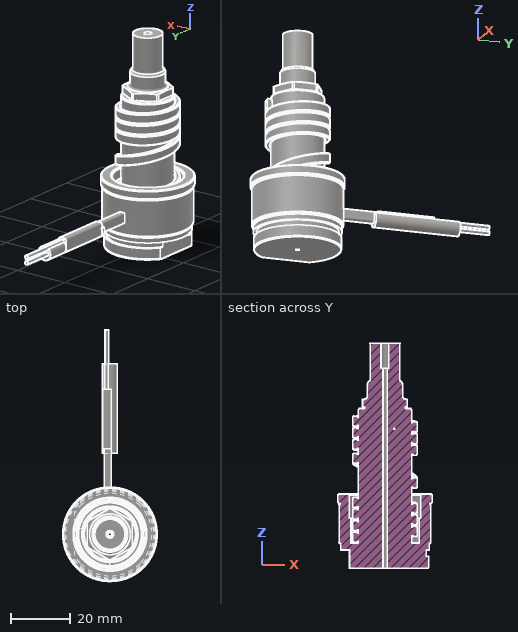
import cadquery as cq
import math

FOOT_RADIUS = 14.9
FOOT_HEIGHT = 4.2
FOOT_EDGE_RADIUS = 14.7
FOOT_EDGE_HEIGHT = 0.4
GROOVE_RADIUS = 14.0
GROOVE_TOP = 6.2
FLAT_DISTANCE = 12.0
RING_RADIUS = 15.05
RING_TOP = 8.0
BODY_RADIUS = 15.55
BODY_BOTTOM = 8.75
BODY_TOP = 21.5
FLANGE_RADIUS = 16.0
FLANGE_BOTTOM = 22.0
FLANGE_TOP = 25.25
EDGE_BREAK = 0.3
BORE_RADIUS = 12.1
BORE_FLOOR = 8.7
BORE_CHAMFER = 0.4
SEAT_RADIUS = 11.5
SEAT_TOP = 17

SLEEVE_RADIUS = 9.1
SLEEVE_TOP = 54.1
SLEEVE_CHAMFER = 0.4
NECK_RADIUS = 6.9
HEX_BOTTOM = 54.5
HEX_TOP = 57.4
HEX_ACROSS_FLATS = 15.2
HEX_CORNER_RADIUS = 8.6
HEX_BEVEL = 0.4
COLLAR_RADIUS = 6.0
COLLAR_FILLET = 0.85
COLLAR_SHOULDER = 62.5
COLLAR_TOP_RADIUS = 5.5
COLLAR_TOP = 63.3
STEM_RADIUS = 5.1
STEM_FILLET = COLLAR_TOP_RADIUS - STEM_RADIUS
STEM_TOP = 76.2
STEM_HOLE_RADIUS = 1.3
STEM_HOLE_DEPTH = 8.5
THROUGH_HOLE_RADIUS = 0.64

SPRING_OUTER_RADIUS = 11.0
SPRING_SINK = 0.3
COIL_HEIGHT = 3.6
COIL_CHAMFER = 0.3
COIL_INNER_CHAMFER = 0.4
CLOSE_PITCH = 3.9
CLOSE_TURNS = 3.05
OPEN_TURNS = 1.22
OPEN_EXTRA_RISE = 11.8
SPRING_END_Z = 50.75
SPRING_END_ANGLE = 270
POINTS_PER_TURN = 24

CABLE_X = -0.8
CABLE_Z = 14.5
CABLE_WIDTH = 2.5
CABLE_HEIGHT = 3.9
CABLE_FILLET = 0.7
CABLE_START_Y = 13.6
CLAMP_X = -1.0
CLAMP_WIDTH = 3.1
CLAMP_HEIGHT = 4.7
CLAMP_FILLET = 0.8
CLAMP_START_Y = 28.9
CLAMP_END_Y = 49.0
TUBE_RADIUS = 2.55
TUBE_Z = 13.5
TUBE_START_Y = 27.4
TUBE_END_Y = 57.6
WIRE_RADIUS = 0.7
WIRE_SPACING = 2.0
WIRE_OVERLAP = 0.85
WIRE_X = -1.0
OVERALL_LENGTH = 85
WIRE_END_Y = OVERALL_LENGTH - FLANGE_RADIUS


def turned(points):
    """Solid of revolution about Z from a list of (radius, z) points."""
    return cq.Workplane("XZ").polyline(points).close().revolve(360, (0, 0), (0, 1))


def cylinder(radius, bottom, top):
    return cq.Workplane("XY").workplane(offset=bottom).circle(radius).extrude(top - bottom)


def make_housing():
    neck = BODY_RADIUS - EDGE_BREAK
    housing = turned([
        (0, 0),
        (FOOT_EDGE_RADIUS, 0),
        (FOOT_RADIUS, FOOT_EDGE_HEIGHT),
        (FOOT_RADIUS, FOOT_HEIGHT),
        (GROOVE_RADIUS, FOOT_HEIGHT),
        (GROOVE_RADIUS, GROOVE_TOP),
        (RING_RADIUS, GROOVE_TOP),
        (RING_RADIUS, RING_TOP),
        (neck, BODY_BOTTOM - EDGE_BREAK),
        (BODY_RADIUS, BODY_BOTTOM),
        (BODY_RADIUS, BODY_TOP),
        (neck, BODY_TOP + EDGE_BREAK),
        (neck, FLANGE_BOTTOM),
        (FLANGE_RADIUS - EDGE_BREAK, FLANGE_BOTTOM),
        (FLANGE_RADIUS, FLANGE_BOTTOM + EDGE_BREAK),
        (FLANGE_RADIUS, FLANGE_TOP - EDGE_BREAK),
        (FLANGE_RADIUS - EDGE_BREAK, FLANGE_TOP),
        (BORE_RADIUS + BORE_CHAMFER, FLANGE_TOP),
        (BORE_RADIUS, FLANGE_TOP - BORE_CHAMFER),
        (BORE_RADIUS, SEAT_TOP),
        (SEAT_RADIUS, SEAT_TOP),
        (SEAT_RADIUS, BORE_FLOOR),
        (0, BORE_FLOOR),
    ])
    beyond_flat = cq.Workplane("XY").box(
        FOOT_RADIUS, 2 * FOOT_RADIUS, GROOVE_TOP, centered=(False, True, False)
    ).translate((-FLAT_DISTANCE - FOOT_RADIUS, 0, 0))
    return housing.cut(beyond_flat)


def make_hexagon():
    corner_diameter = HEX_ACROSS_FLATS / math.cos(math.pi / 6)
    height = HEX_TOP - HEX_BOTTOM
    prism = (
        cq.Workplane("XY").workplane(offset=HEX_BOTTOM)
        .transformed(rotate=(0, 0, 90))
        .polygon(6, corner_diameter).extrude(height)
    )
    rounding = turned([
        (0, HEX_BOTTOM),
        (HEX_CORNER_RADIUS, HEX_BOTTOM),
        (HEX_CORNER_RADIUS, HEX_TOP - HEX_BEVEL),
        (COLLAR_RADIUS, HEX_TOP),
        (0, HEX_TOP),
    ])
    return prism.intersect(rounding)


def make_post():
    sleeve = cylinder(SLEEVE_RADIUS, BORE_FLOOR, SLEEVE_TOP).faces(">Z").chamfer(SLEEVE_CHAMFER)
    neck = cylinder(NECK_RADIUS, SLEEVE_TOP, HEX_BOTTOM)
    arc_bulge = 1 - math.sqrt(0.5)
    stem = (
        cq.Workplane("XZ")
        .moveTo(0, HEX_BOTTOM)
        .lineTo(COLLAR_RADIUS + COLLAR_FILLET, HEX_BOTTOM)
        .lineTo(COLLAR_RADIUS + COLLAR_FILLET, HEX_TOP)
        .threePointArc(
            (COLLAR_RADIUS + arc_bulge * COLLAR_FILLET, HEX_TOP + arc_bulge * COLLAR_FILLET),
            (COLLAR_RADIUS, HEX_TOP + COLLAR_FILLET),
        )
        .lineTo(COLLAR_RADIUS, COLLAR_SHOULDER)
        .lineTo(COLLAR_TOP_RADIUS, COLLAR_TOP)
        .threePointArc(
            (STEM_RADIUS + arc_bulge * STEM_FILLET, COLLAR_TOP + arc_bulge * STEM_FILLET),
            (STEM_RADIUS, COLLAR_TOP + STEM_FILLET),
        )
        .lineTo(STEM_RADIUS, STEM_TOP)
        .lineTo(0, STEM_TOP)
        .close()
        .revolve(360, (0, 0), (0, 1))
    )
    return sleeve.union(neck).union(make_hexagon()).union(stem)


def coil_drop(turns):
    """Distance of the coil centre below the upper end after a number of turns."""
    stretch = min(max((turns - CLOSE_TURNS) / OPEN_TURNS, 0), 1)
    return CLOSE_PITCH * turns + OPEN_EXTRA_RISE * stretch**2 * (3 - 2 * stretch)


def make_spring():
    """Skin the coil from the helical edges traced by the corners of its section."""
    half = COIL_HEIGHT / 2
    bevel_radius = SPRING_OUTER_RADIUS - COIL_CHAMFER
    sunk_radius = SLEEVE_RADIUS - SPRING_SINK
    sunk_half = half - COIL_INNER_CHAMFER - SPRING_SINK
    inner_bevel_radius = SLEEVE_RADIUS + COIL_INNER_CHAMFER
    section = [
        (sunk_radius, -sunk_half),
        (inner_bevel_radius, -half),
        (bevel_radius, -half),
        (SPRING_OUTER_RADIUS, COIL_CHAMFER - half),
        (SPRING_OUTER_RADIUS, half - COIL_CHAMFER),
        (bevel_radius, half),
        (inner_bevel_radius, half),
        (sunk_radius, sunk_half),
    ]
    total_turns = 2 * CLOSE_TURNS + OPEN_TURNS
    steps = math.ceil(total_turns * POINTS_PER_TURN)

    def corner_at(corner, turns):
        radius, offset = corner
        angle = math.radians(SPRING_END_ANGLE - 360 * turns)
        height = SPRING_END_Z - coil_drop(turns) + offset
        return cq.Vector(radius * math.cos(angle), radius * math.sin(angle), height)

    stations = [total_turns * step / steps for step in range(steps + 1)]
    edges = [
        cq.Edge.makeSpline([corner_at(corner, turns) for turns in stations], parameters=stations)
        for corner in section
    ]
    faces = [
        cq.Face.makeRuledSurface(edge, edges[(index + 1) % len(edges)])
        for index, edge in enumerate(edges)
    ]
    for turns in (0, total_turns):
        outline = cq.Wire.makePolygon([corner_at(corner, turns) for corner in section], close=True)
        faces.append(cq.Face.makeFromWires(outline))
    return cq.Workplane(obj=cq.Solid.makeSolid(cq.Shell.makeShell(faces)).fix())


def rounded_bar(x, width, height, fillet, start, end):
    """Rounded rectangular bar along Y at the height of the cable axis."""
    return (
        cq.Workplane("XY").box(width, end - start, height, centered=(True, False, True))
        .edges("|Y").fillet(fillet)
        .translate((x, start, CABLE_Z))
    )


def rod(radius, x, z, start, end):
    """Round rod along Y."""
    return cq.Workplane("XZ", origin=(x, start, z)).circle(radius).extrude(start - end)


def make_cable():
    cable = rounded_bar(CABLE_X, CABLE_WIDTH, CABLE_HEIGHT, CABLE_FILLET, CABLE_START_Y, CLAMP_END_Y)
    clamp = rounded_bar(CLAMP_X, CLAMP_WIDTH, CLAMP_HEIGHT, CLAMP_FILLET, CLAMP_START_Y, CLAMP_END_Y)
    cable = cable.union(clamp).union(rod(TUBE_RADIUS, 0, TUBE_Z, TUBE_START_Y, TUBE_END_Y))
    for side in (-1, 1):
        wire_z = CABLE_Z + side * WIRE_SPACING / 2
        cable = cable.union(rod(WIRE_RADIUS, WIRE_X, wire_z, CLAMP_END_Y - WIRE_OVERLAP, WIRE_END_Y))
    return cable


def make_bore():
    through = cylinder(THROUGH_HOLE_RADIUS, 0, STEM_TOP)
    return through.union(cylinder(STEM_HOLE_RADIUS, STEM_TOP - STEM_HOLE_DEPTH, STEM_TOP))


post = make_post().union(make_spring())
result = make_housing().union(post).union(make_cable()).cut(make_bore())